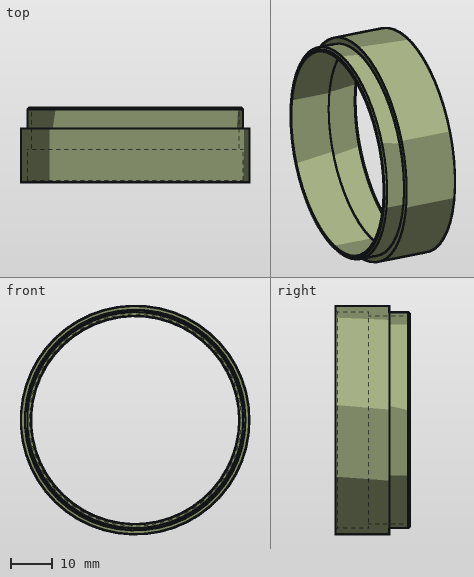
import cadquery as cq

outer_diameter = 55.0
spigot_diameter = 52.0
bore_diameter = 50.0
counterbore_diameter = 52.0
mouth_diameter = 53.0

total_length = 18.0
spigot_length = 5.0
body_length = total_length - spigot_length
counterbore_depth = 8.0
spigot_chamfer = 0.5
mouth_chamfer = (mouth_diameter - counterbore_diameter) / 2

outer_radius = outer_diameter / 2
spigot_radius = spigot_diameter / 2
bore_radius = bore_diameter / 2
counterbore_radius = counterbore_diameter / 2
mouth_radius = mouth_diameter / 2

wall_section = (
    cq.Workplane("XY")
    .moveTo(mouth_radius, 0)
    .lineTo(outer_radius, 0)
    .lineTo(outer_radius, body_length)
    .lineTo(spigot_radius, body_length)
    .lineTo(spigot_radius, total_length - spigot_chamfer)
    .lineTo(spigot_radius - spigot_chamfer, total_length)
    .lineTo(bore_radius, total_length)
    .lineTo(bore_radius, counterbore_depth)
    .lineTo(counterbore_radius, counterbore_depth)
    .lineTo(counterbore_radius, mouth_chamfer)
    .close()
)

result = wall_section.revolve(360, (0, 0, 0), (0, 1, 0))